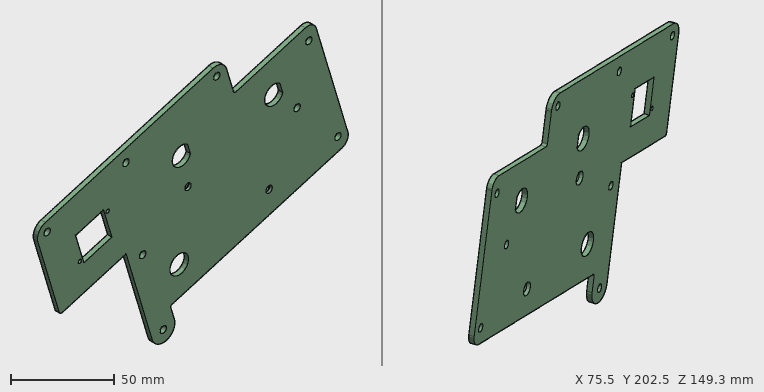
import cadquery as cq
import math


yaw = -71.75
pitch = 19.3
roll = -3.2

thickness = 3.0

left_edge = -98.0
right_edge = 92.8
bottom_edge = -47.2
top_edge = 67.2
step_x = -41.3
step_y = 41.5
cutout_x = 45.8
cutout_y = 6.3
tab_width = 15.8
tab_radius = tab_width / 2
tab_center_x = cutout_x - tab_radius
tab_center_y = -57.1
tab_left = cutout_x - tab_width

outer_radius = 7.5
left_radius = 6.0
lower_right_radius = 1.6
inside_radius = 1.2

screw_diameter = 4.3
screw_centers = [
    (-91.7, 32.2),
    (-34.6, 60.5),
    (30.4, 59.0),
    (85.9, 60.8),
    (-74.0, -0.2),
    (36.7, -3.0),
    (-91.7, -38.5),
    (tab_center_x, tab_center_y),
]
countersink_diameter = 7.0
countersink_depth = (countersink_diameter - screw_diameter) / 2
countersink_centers = [(0.0, 12.2), (-44.5, -32.5)]
knob_diameter = 12.5
knob_flat_distance = 5.3
flatted_centers = [(-63.2, 19.6), (-1.6, 33.5)]
round_center = (18.0, -28.0)
window_center = (60.8, 33.6)
window_width = 19.8
window_height = 20.0
pin_diameter = 2.2
pin_offset_x = 12.0
pin_offset_y = 7.0


def make_plate():
    """Stepped outline with a round-ended tab, extruded behind the visible face."""
    plate = (
        cq.Workplane("XY")
        .moveTo(left_edge, bottom_edge)
        .lineTo(tab_left, bottom_edge)
        .lineTo(tab_left, tab_center_y)
        .threePointArc((tab_center_x, tab_center_y - tab_radius), (cutout_x, tab_center_y))
        .lineTo(cutout_x, cutout_y)
        .lineTo(right_edge, cutout_y)
        .lineTo(right_edge, top_edge)
        .lineTo(step_x, top_edge)
        .lineTo(step_x, step_y)
        .lineTo(left_edge, step_y)
        .close()
        .extrude(-thickness)
    )
    rounded_corners = [
        (left_edge, bottom_edge, left_radius),
        (left_edge, step_y, left_radius),
        (step_x, top_edge, outer_radius),
        (right_edge, top_edge, outer_radius),
        (right_edge, cutout_y, lower_right_radius),
        (step_x, step_y, inside_radius),
        (tab_left, bottom_edge, inside_radius),
    ]
    for x, y, radius in rounded_corners:
        corner = cq.selectors.NearestToPointSelector((x, y, -thickness / 2))
        plate = plate.edges("|Z").edges(corner).fillet(radius)
    return plate


def round_cutter(centers, diameter):
    return cq.Workplane("XY").pushPoints(centers).circle(diameter / 2).extrude(-thickness)


def countersink_cutter(centers):
    """90 degree cones, open at the visible face and narrowing to the screw hole."""
    return (
        cq.Workplane("XY")
        .pushPoints(centers)
        .circle(countersink_diameter / 2)
        .extrude(-countersink_depth, taper=45)
    )


def flatted_cutter(centers):
    """Round openings with one flat on the left."""
    radius = knob_diameter / 2
    half_flat = math.sqrt(radius**2 - knob_flat_distance**2)
    cutter = cq.Workplane("XY")
    for x, y in centers:
        flat_x = x - knob_flat_distance
        cutter = (
            cutter.moveTo(flat_x, y - half_flat)
            .threePointArc((x + radius, y), (flat_x, y + half_flat))
            .close()
        )
    return cutter.extrude(-thickness)


def window_cutter():
    """Rectangular opening with a pin hole beside two opposite corners."""
    window = (
        cq.Workplane("XY")
        .center(*window_center)
        .rect(window_width, window_height)
        .extrude(-thickness)
    )
    x, y = window_center
    pin_centers = [(x - pin_offset_x, y + pin_offset_y), (x + pin_offset_x, y - pin_offset_y)]
    return window.union(round_cutter(pin_centers, pin_diameter))


plate = (
    make_plate()
    .cut(round_cutter(screw_centers + countersink_centers, screw_diameter))
    .cut(countersink_cutter(countersink_centers))
    .cut(round_cutter([round_center], knob_diameter))
    .cut(flatted_cutter(flatted_centers))
    .cut(window_cutter())
)

result = (
    plate.rotate((0, 0, 0), (1, 0, 0), 90 + roll)
    .rotate((0, 0, 0), (0, 1, 0), pitch)
    .rotate((0, 0, 0), (0, 0, 1), yaw)
)